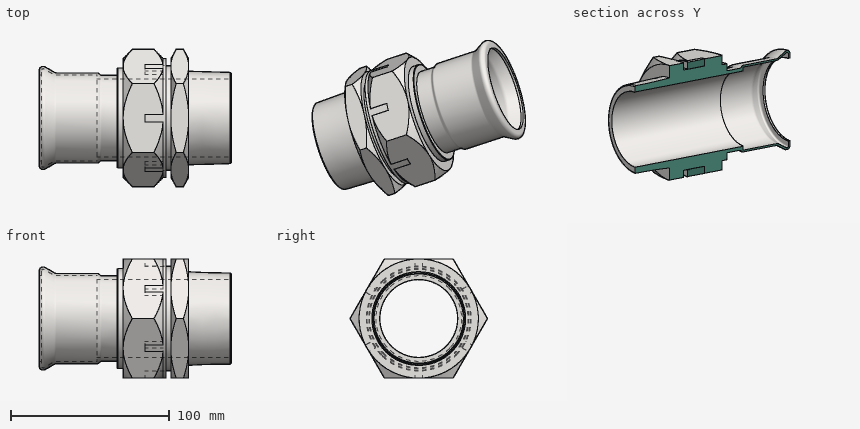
import cadquery as cq
import math

TOTAL_LENGTH = 121.0

BEAD_ROUND = 2.5
BEAD_RADIUS = 32.5
BEAD_CONE_ANGLE = math.radians(30)
SOCKET_RADIUS = 57.0 / 2
SOCKET_BLEND = 2.3
SHOULDER_START = 36.5
SHOULDER_END = 39.5
SHOULDER_ROUND = 1.6
SHOULDER_ANGLE = math.radians(45)
NECK_RADIUS = 54.0 / 2

COLLAR_START = 49.1
COLLAR_RADIUS = 63.0 / 2
COLLAR_CHAMFER = 0.4

HEX_ACROSS_FLATS = 75.0
HEX_CORNER_RADIUS = HEX_ACROSS_FLATS / 2 / math.cos(math.radians(30))
LARGE_HEX_START = 52.9
LARGE_HEX_END = 78.0
LARGE_HEX_BEVEL = math.radians(45)
SMALL_HEX_START = 82.9
SMALL_HEX_END = 94.1
SMALL_HEX_BEVEL = math.radians(30)
CORE_RADIUS = 66.0 / 2

RING_RADIUS = 75.1 / 2
RING_END = 80.0
TAB_START = 66.8
TAB_WIDTH = 4.7
TAB_COUNT = 6

TAPER_START_RADIUS = 29.5
TAPER_END_RADIUS = 28.8
END_CHAMFER = 0.7

THROUGH_RADIUS = 48.9 / 2
TUBE_BORE_RADIUS = 54.0 / 2
TUBE_BORE_DEPTH = SHOULDER_START
WALL = SOCKET_RADIUS - TUBE_BORE_RADIUS


def cylinder(start, end, radius):
    """Cylinder along X between two stations."""
    return cq.Workplane("YZ", origin=(start, 0, 0)).circle(radius).extrude(end - start)


def arc_point(centre, radius, angle):
    """Point on an arc; the angle is measured from the outward radial direction toward +X."""
    return (centre[0] + radius * math.sin(angle), centre[1] + radius * math.cos(angle))


def bead_geometry():
    """Centres of the bead round and of the concave blend that ends the cone."""
    bead_centre = (BEAD_ROUND, BEAD_RADIUS - BEAD_ROUND)
    cone_top = arc_point(bead_centre, BEAD_ROUND, BEAD_CONE_ANGLE)
    blend_drop = SOCKET_BLEND * (1 - math.cos(BEAD_CONE_ANGLE))
    cone_drop = cone_top[1] - SOCKET_RADIUS - blend_drop
    cone_length = cone_drop / math.tan(BEAD_CONE_ANGLE)
    blend_end = cone_top[0] + cone_length + SOCKET_BLEND * math.sin(BEAD_CONE_ANGLE)
    return bead_centre, (blend_end, SOCKET_RADIUS + SOCKET_BLEND)


def draw_bead(sketch, inset):
    """Continue an outline along the bead, cone and blend, moved inward by a wall inset."""
    bead_centre, blend_centre = bead_geometry()
    bead_round = BEAD_ROUND - inset
    blend_round = SOCKET_BLEND + inset
    return (
        sketch
        .lineTo(inset, bead_centre[1])
        .threePointArc(
            arc_point(bead_centre, bead_round, 0),
            arc_point(bead_centre, bead_round, BEAD_CONE_ANGLE),
        )
        .lineTo(*arc_point(blend_centre, blend_round, math.pi + BEAD_CONE_ANGLE))
        .threePointArc(
            arc_point(blend_centre, blend_round, math.pi + BEAD_CONE_ANGLE / 2),
            arc_point(blend_centre, blend_round, math.pi),
        )
    )


def fitting_blank():
    """Turned outside shape, without the hexagons."""
    convex_centre = (SHOULDER_START, SOCKET_RADIUS - SHOULDER_ROUND)
    concave_centre = (SHOULDER_END, NECK_RADIUS + SHOULDER_ROUND)
    shoulder_back = math.pi + SHOULDER_ANGLE

    profile = (
        draw_bead(cq.Workplane("XY").moveTo(0, 0), 0)
        .lineTo(SHOULDER_START, SOCKET_RADIUS)
        .threePointArc(
            arc_point(convex_centre, SHOULDER_ROUND, SHOULDER_ANGLE / 2),
            arc_point(convex_centre, SHOULDER_ROUND, SHOULDER_ANGLE),
        )
        .lineTo(*arc_point(concave_centre, SHOULDER_ROUND, shoulder_back))
        .threePointArc(
            arc_point(concave_centre, SHOULDER_ROUND, math.pi + SHOULDER_ANGLE / 2),
            (SHOULDER_END, NECK_RADIUS),
        )
        .lineTo(COLLAR_START, NECK_RADIUS)
        .lineTo(COLLAR_START, COLLAR_RADIUS - COLLAR_CHAMFER)
        .lineTo(COLLAR_START + COLLAR_CHAMFER, COLLAR_RADIUS)
        .lineTo(LARGE_HEX_START, COLLAR_RADIUS)
        .lineTo(LARGE_HEX_START, CORE_RADIUS)
        .lineTo(SMALL_HEX_END, CORE_RADIUS)
        .lineTo(SMALL_HEX_END, TAPER_START_RADIUS)
        .lineTo(TOTAL_LENGTH - END_CHAMFER, TAPER_END_RADIUS)
        .lineTo(TOTAL_LENGTH, TAPER_END_RADIUS - END_CHAMFER)
        .lineTo(TOTAL_LENGTH, 0)
        .close()
    )
    return profile.revolve(360, (0, 0, 0), (1, 0, 0))


def bevelled_hexagon(start, end, bevel_angle):
    """Hexagon with corners on Y and conical bevels that touch the flats at both ends."""
    prism = (
        cq.Workplane("YZ", origin=(start, 0, 0))
        .polygon(6, 2 * HEX_CORNER_RADIUS)
        .extrude(end - start)
    )
    flat_radius = HEX_ACROSS_FLATS / 2
    bevel_length = (HEX_CORNER_RADIUS - flat_radius) * math.tan(bevel_angle)
    bevel_body = (
        cq.Workplane("XY")
        .moveTo(start, 0)
        .lineTo(start, flat_radius)
        .lineTo(start + bevel_length, HEX_CORNER_RADIUS)
        .lineTo(end - bevel_length, HEX_CORNER_RADIUS)
        .lineTo(end, flat_radius)
        .lineTo(end, 0)
        .close()
        .revolve(360, (0, 0, 0), (1, 0, 0))
    )
    return prism.intersect(bevel_body)


def tab_slots():
    """Radial blocks, one per hexagon flat, outside the core and as long as the tabs."""
    length = LARGE_HEX_END - TAB_START
    block = cq.Workplane("XY").box(
        length, TAB_WIDTH, HEX_CORNER_RADIUS, centered=(False, True, False)
    ).translate((TAB_START, 0, 0))
    slots = cq.Workplane("XY")
    for index in range(TAB_COUNT):
        slots = slots.add(block.rotate((0, 0, 0), (1, 0, 0), index * 360 / TAB_COUNT))
    return slots.combine().cut(cylinder(TAB_START, LARGE_HEX_END, CORE_RADIUS))


def bead_groove():
    """Seal groove inside the bead, which leaves an even wall and an inward lip."""
    profile = draw_bead(cq.Workplane("XY").moveTo(WALL, 0), WALL)
    groove_end = bead_geometry()[1][0]
    return profile.lineTo(groove_end, 0).close().revolve(360, (0, 0, 0), (1, 0, 0))


def build_fitting():
    """Press socket, both hexagons and tapered end, bored through."""
    large_hex = bevelled_hexagon(LARGE_HEX_START, LARGE_HEX_END, LARGE_HEX_BEVEL).cut(tab_slots())
    small_hex = bevelled_hexagon(SMALL_HEX_START, SMALL_HEX_END, SMALL_HEX_BEVEL)
    fitting = fitting_blank().union(large_hex).union(small_hex)
    return (
        fitting
        .cut(cylinder(0, TOTAL_LENGTH, THROUGH_RADIUS))
        .cut(cylinder(0, TUBE_BORE_DEPTH, TUBE_BORE_RADIUS))
        .cut(bead_groove())
    )


def build_marking_ring():
    """Ring around the core, with tabs that fill the slots in the large hexagon."""
    band = cylinder(LARGE_HEX_END, RING_END, RING_RADIUS).cut(
        cylinder(LARGE_HEX_END, RING_END, CORE_RADIUS)
    )
    tabs = tab_slots().intersect(cylinder(TAB_START, LARGE_HEX_END, RING_RADIUS))
    return band.union(tabs)


fitting = build_fitting()
marking_ring = build_marking_ring()

result = cq.Compound.makeCompound([fitting.val(), marking_ring.val()])